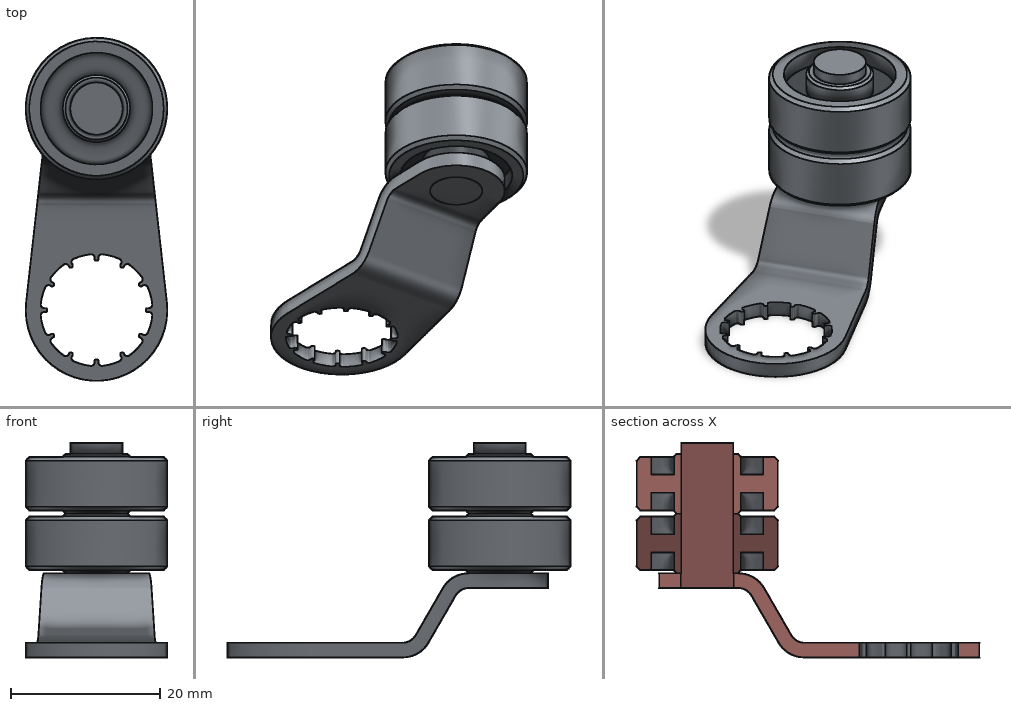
import cadquery as cq
import math

arm_thickness = 2.0
arm_rise = 9.3
pin_offset = 27.0
ring_radius = 9.5
pin_end_radius = 6.5
arm_top = arm_rise + arm_thickness

bend_angle = math.radians(60)
bend_inner_radius = 2.0
bend_start = 14.0
bend_outer_radius = bend_inner_radius + arm_thickness
bend_mid_radius = bend_inner_radius + arm_thickness / 2
bend_height = bend_mid_radius * (1 - math.cos(bend_angle))
bend_run = bend_mid_radius * math.sin(bend_angle)
slope_run = (arm_rise - 2 * bend_height) / math.tan(bend_angle)
bend_end = bend_start + 2 * bend_run + slope_run

hole_radius = 7.5
tooth_count = 12
tooth_tip_radius = 6.6
tooth_width = 0.55
tooth_overlap = 1.0
tooth_root_fillet = 0.45
tooth_tip_fillet = 0.25

roller_count = 2
roller_radius = 9.5
rim_height = 7.2
rim_chamfer = 0.5
recess_radius = 7.5
recess_depth = 2.35
hub_radius = 4.5
hub_height = 8.0
hub_chamfer = 0.35

pin_radius = 3.5
pin_top = 28.75


def arm_outline():
    """Tapered plan of the arm: two round ends joined by their common tangents."""
    taper = math.asin((ring_radius - pin_end_radius) / pin_offset)
    ring_x = ring_radius * math.cos(taper)
    ring_y = ring_radius * math.sin(taper)
    end_x = pin_end_radius * math.cos(taper)
    end_y = pin_offset + pin_end_radius * math.sin(taper)
    return (
        cq.Workplane("XY")
        .moveTo(ring_x, ring_y)
        .lineTo(end_x, end_y)
        .threePointArc((0, pin_offset + pin_end_radius), (-end_x, end_y))
        .lineTo(-ring_x, ring_y)
        .threePointArc((0, -ring_radius), (ring_x, ring_y))
        .close()
    )


def bend_step(radius):
    """Run and rise of one bend measured along a face of the given radius."""
    return radius * math.sin(bend_angle), radius * (1 - math.cos(bend_angle))


def cranked_strip():
    """Bent sheet following the crank, wide enough to cover the whole plan."""
    inner_run, inner_rise = bend_step(bend_inner_radius)
    outer_run, outer_rise = bend_step(bend_outer_radius)
    slope = (slope_run, arm_rise - 2 * bend_height)
    ring_edge = -ring_radius
    far_edge = pin_offset + pin_end_radius
    profile = (
        cq.Workplane("YZ")
        .moveTo(ring_edge, 0)
        .lineTo(bend_start, 0)
        .tangentArcPoint((outer_run, outer_rise))
        .line(*slope)
        .tangentArcPoint((inner_run, inner_rise))
        .lineTo(far_edge, arm_rise)
        .lineTo(far_edge, arm_top)
        .lineTo(bend_end, arm_top)
        .tangentArcPoint((-outer_run, -outer_rise))
        .line(-slope[0], -slope[1])
        .tangentArcPoint((-inner_run, -inner_rise))
        .lineTo(ring_edge, arm_thickness)
        .close()
    )
    return profile.extrude(ring_radius, both=True)


def is_tooth_root(edge):
    """True for an upright edge where a tooth side meets the hole wall."""
    center = edge.Center()
    return math.hypot(center.x, center.y) > (tooth_tip_radius + hole_radius) / 2


def toothed_hole():
    """Cutter for the ring hole, leaving rounded teeth that point inward."""
    cutter = cq.Workplane("XY").circle(hole_radius).extrude(arm_thickness)
    tooth_length = hole_radius + tooth_overlap - tooth_tip_radius
    tooth = (
        cq.Workplane("XY")
        .center((tooth_tip_radius + hole_radius + tooth_overlap) / 2, 0)
        .rect(tooth_length, tooth_width)
        .extrude(arm_thickness)
        .edges("|Z and <X")
        .fillet(tooth_tip_fillet)
    )
    for index in range(tooth_count):
        angle = index * 360 / tooth_count
        cutter = cutter.cut(tooth.rotate((0, 0, 0), (0, 0, 1), angle))
    return cutter.edges("|Z").filter(is_tooth_root).fillet(tooth_root_fillet)


def make_arm():
    """Cranked arm with the toothed ring hole and the pin hole."""
    plan = arm_outline().extrude(arm_top)
    pin_hole = (
        cq.Workplane("XY")
        .center(0, pin_offset)
        .circle(pin_radius)
        .extrude(arm_top)
    )
    return cranked_strip().intersect(plan).cut(toothed_hole()).cut(pin_hole)


def make_roller(base):
    """Roller with a rim recessed on both faces and a hub standing proud of it."""
    middle = base + hub_height / 2
    rim_base = middle - rim_height / 2
    web_height = rim_height - 2 * recess_depth
    rim = (
        cq.Workplane("XY", origin=(0, pin_offset, rim_base))
        .circle(roller_radius)
        .extrude(rim_height)
        .edges()
        .chamfer(rim_chamfer)
    )
    hub = (
        cq.Workplane("XY", origin=(0, pin_offset, base))
        .circle(hub_radius)
        .extrude(hub_height)
        .edges()
        .chamfer(hub_chamfer)
    )
    recess = (
        cq.Workplane("XY", origin=(0, pin_offset, rim_base))
        .circle(recess_radius)
        .extrude(recess_depth)
    )
    far_recess = recess.translate((0, 0, recess_depth + web_height))
    bore = (
        cq.Workplane("XY", origin=(0, pin_offset, base))
        .circle(pin_radius)
        .extrude(hub_height)
    )
    return rim.cut(recess).cut(far_recess).union(hub).cut(bore)


def make_pin():
    """Plain pin from the underside of the arm to above the top roller."""
    return (
        cq.Workplane("XY", origin=(0, pin_offset, arm_rise))
        .circle(pin_radius)
        .extrude(pin_top - arm_rise)
    )


arm = make_arm()
pin = make_pin()
rollers = [make_roller(arm_top + index * hub_height) for index in range(roller_count)]

result = cq.Compound.makeCompound([arm.val(), pin.val(), *[roller.val() for roller in rollers]])